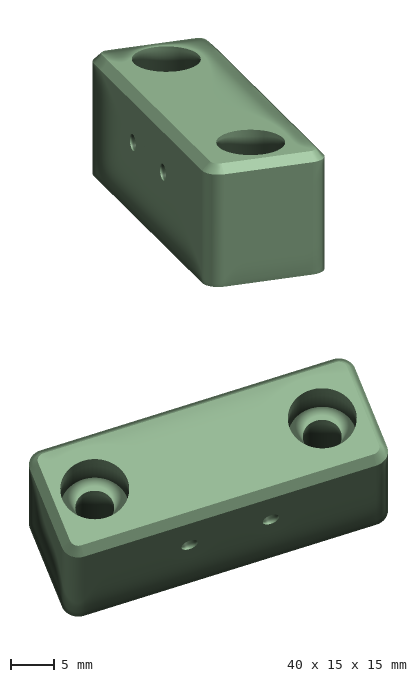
import cadquery as cq

length = 40.0
width = 15.0
height = 15.0
corner_radius = 2.0
top_chamfer = 1.0

mount_spacing = 28.0
mount_diameter = 4.5
counterbore_diameter = 8.0
counterbore_depth = 4.4

cross_spacing = 10.0
cross_diameter = 2.0
cross_height = 9.0


def make_block():
    """Block with rounded vertical edges and a chamfered top rim, base at Z = 0."""
    block = cq.Workplane("XY").box(length, width, height, centered=(True, True, False))
    return block.edges("|Z").fillet(corner_radius).faces(">Z").chamfer(top_chamfer)


def cut_mounting_holes(body):
    return (
        body.faces(">Z")
        .workplane(origin=(0, 0, height))
        .pushPoints([(-mount_spacing / 2, 0), (mount_spacing / 2, 0)])
        .cboreHole(mount_diameter, counterbore_diameter, counterbore_depth)
    )


def cut_cross_holes(body):
    drills = (
        cq.Workplane("XZ")
        .pushPoints([(-cross_spacing / 2, cross_height), (cross_spacing / 2, cross_height)])
        .circle(cross_diameter / 2)
        .extrude(width / 2, both=True)
    )
    return body.cut(drills)


result = cut_cross_holes(cut_mounting_holes(make_block()))